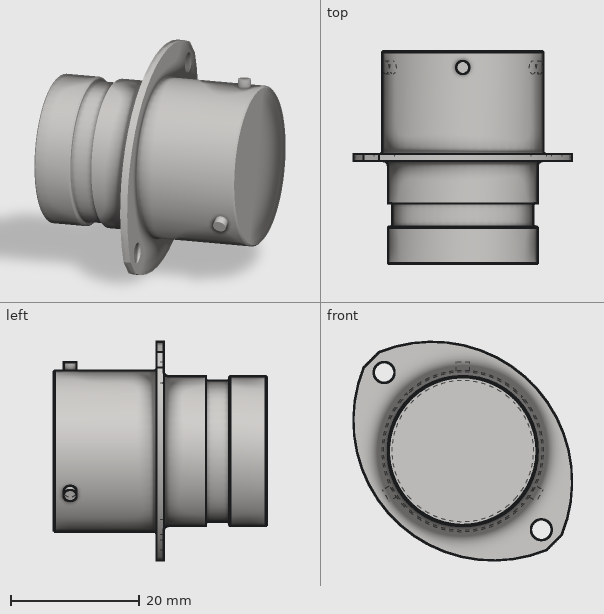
import cadquery as cq
import math

front_y = -16.08
rear_y = 17.2
flange_thickness = 1.15
groove_front_y = -10.15
groove_rear_y = -6.6

rear_radius = 12.62
front_radius = 11.75
groove_radius = 11.05
front_chamfer = 0.2
rear_chamfer = 0.25
flange_front_fillet = 0.65
flange_rear_fillet = 0.27
groove_fillet = 0.17
groove_chamfer = 0.25

flange_half_size = 17.1
arc_center_offset = 4.8
arc_radius = flange_half_size + arc_center_offset
tip_distance = 20.2
hole_offset = 12.28
hole_diameter = 3.2

pin_count = 3
pin_radius = 1.03
pin_tip_radius = 13.9
pin_y = 14.65


def make_barrel():
    """Solid stepped barrel, revolved about the Y axis."""
    profile = (
        cq.Workplane("XY")
        .moveTo(0, front_y)
        .lineTo(front_radius - front_chamfer, front_y)
        .lineTo(front_radius, front_y + front_chamfer)
        .lineTo(front_radius, groove_front_y - groove_chamfer)
        .lineTo(front_radius - groove_chamfer, groove_front_y)
        .lineTo(groove_radius + groove_fillet, groove_front_y)
        .radiusArc((groove_radius, groove_front_y + groove_fillet), groove_fillet)
        .lineTo(groove_radius, groove_rear_y - groove_fillet)
        .radiusArc((groove_radius + groove_fillet, groove_rear_y), groove_fillet)
        .lineTo(front_radius, groove_rear_y)
        .lineTo(front_radius, -flange_front_fillet)
        .radiusArc((front_radius + flange_front_fillet, 0), flange_front_fillet)
        .lineTo(rear_radius + flange_rear_fillet, 0)
        .lineTo(rear_radius + flange_rear_fillet, flange_thickness)
        .radiusArc((rear_radius, flange_thickness + flange_rear_fillet), flange_rear_fillet)
        .lineTo(rear_radius, rear_y - rear_chamfer)
        .lineTo(rear_radius - rear_chamfer, rear_y)
        .lineTo(0, rear_y)
        .close()
    )
    return profile.revolve(360, (0, 0, 0), (0, 1, 0))


def make_flange():
    """Lens-shaped plate with flat tips and two mounting holes, lying on the XZ plane."""
    half_center_distance = arc_center_offset * math.sqrt(2)
    tip_half_width = math.sqrt(arc_radius**2 - tip_distance**2) - half_center_distance
    side_distance = arc_radius - half_center_distance

    plate = (
        cq.Workplane("XZ")
        .moveTo(-tip_distance, tip_half_width)
        .threePointArc((0, side_distance), (tip_distance, tip_half_width))
        .lineTo(tip_distance, -tip_half_width)
        .threePointArc((0, -side_distance), (-tip_distance, -tip_half_width))
        .close()
        .extrude(-flange_thickness)
        .rotate((0, 0, 0), (0, 1, 0), 45)
    )
    holes = (
        cq.Workplane("XZ")
        .pushPoints([(-hole_offset, hole_offset), (hole_offset, -hole_offset)])
        .circle(hole_diameter / 2)
        .extrude(-flange_thickness)
    )
    return plate.cut(holes)


def make_housing():
    return make_barrel().union(make_flange())


def make_pin(angle):
    """Radial pin whose curved foot rests on the rear barrel surface."""
    post = cq.Workplane("XY").center(0, pin_y).circle(pin_radius).extrude(pin_tip_radius)
    barrel_core = cq.Workplane("XZ").circle(rear_radius).extrude(-rear_y)
    return post.cut(barrel_core).rotate((0, 0, 0), (0, 1, 0), angle)


housing = make_housing()
pins = [make_pin(i * 360 / pin_count) for i in range(pin_count)]

result = cq.Compound.makeCompound([housing.val(), *[pin.val() for pin in pins]])